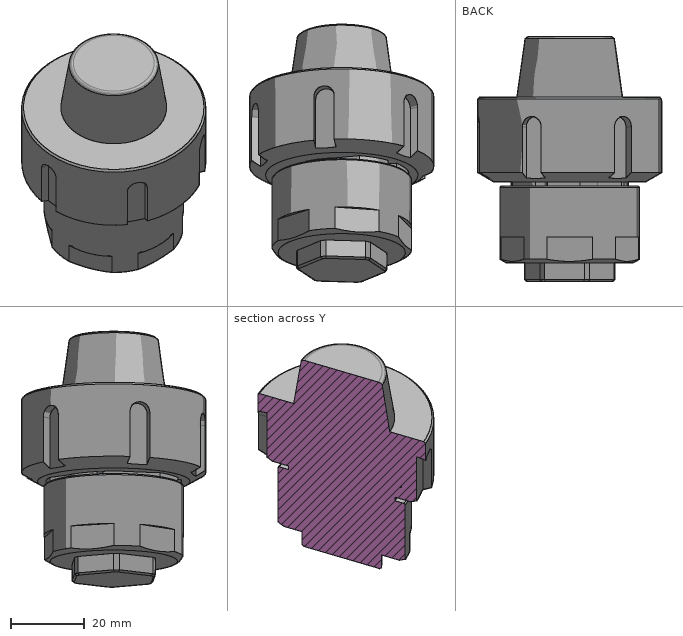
import cadquery as cq
import math

overall_height = 66.5
shoulder_z = 50.0
collar_bottom_z = 27.1
nut_top_z = 25.95
nut_flat_top_z = 12.1
nut_bottom_z = 5.05

bevel_angle = 30.0

cutter_overrun = 0.65

taper_angle = 8.0
plug_base_radius = 14.4
plug_top_radius = 11.0
plug_rim_radius = 11.85
plug_rim_z = 66.1
plug_bevel_height = 0.2

collar_radius = 25.0
collar_top_chamfer = 0.5
collar_bottom_chamfer_width = 4.3
slot_count = 6
slot_width = 5.6
slot_floor_distance = 22.3
slot_top_z = 44.8
slot_start_angle = 5.5

neck_radius = 15.9
lobe_radius = 18.4
lobe_count = 2
lobe_angle = 65.2
lobe_root_half_width = 12.8
lobe_root_distance = 9.4
lobe_tip_half_width = 10.1
lobe_tip_distance = 15.4
lobe_notch_radius = 1.7
neck_notch_radius = 0.85

nut_radius = 38.0 / 2
nut_top_chamfer = 0.4
nut_bottom_chamfer_width = 1.7
nut_flat_count = 6
nut_flat_distance = 17.95

hex_sides = 6
hex_across_flats = 21.95
hex_corner_radius = 12.25
hex_angle = 22.5
spigot_chamfer = 0.5


def polar(distance, angle):
    """Return the XY point at a distance and an angle in degrees from the axis."""
    return (distance * math.cos(math.radians(angle)), distance * math.sin(math.radians(angle)))


def revolve_profile(points):
    """Turn a radius-height outline about the Z axis."""
    return cq.Workplane("XZ").polyline(points).close().revolve(360, (0, 0, 0), (0, 1, 0))


def disc(radius, bottom_z, top_z):
    return cq.Workplane("XY").workplane(offset=bottom_z).circle(radius).extrude(top_z - bottom_z)


def make_plug():
    """Tapered plug whose top edge is rounded, then bevelled into the taper."""
    taper_top_z = plug_rim_z - plug_bevel_height
    taper_height = taper_top_z - shoulder_z
    taper_top_radius = plug_base_radius - taper_height * math.tan(math.radians(taper_angle))
    rim_drop = overall_height - plug_rim_z
    rim_width = plug_rim_radius - plug_top_radius
    round_radius = (rim_width**2 + rim_drop**2) / (2 * rim_drop)
    half_sweep = math.asin(rim_width / round_radius) / 2
    round_middle = (
        plug_top_radius + round_radius * math.sin(half_sweep),
        overall_height - round_radius * (1 - math.cos(half_sweep)),
    )
    return (
        cq.Workplane("XZ")
        .moveTo(0, shoulder_z)
        .lineTo(plug_base_radius, shoulder_z)
        .lineTo(taper_top_radius, taper_top_z)
        .lineTo(plug_rim_radius, plug_rim_z)
        .threePointArc(round_middle, (plug_top_radius, overall_height))
        .lineTo(0, overall_height)
        .close()
        .revolve(360, (0, 0, 0), (0, 1, 0))
    )


def make_slot(angle):
    """Round-topped axial slot, open at the bottom of the collar."""
    cut_depth = collar_radius - slot_floor_distance + cutter_overrun
    arc_center_z = slot_top_z - slot_width / 2
    slot = (
        cq.Workplane("YZ")
        .workplane(offset=slot_floor_distance)
        .moveTo(-slot_width / 2, collar_bottom_z)
        .lineTo(-slot_width / 2, arc_center_z)
        .threePointArc((0, slot_top_z), (slot_width / 2, arc_center_z))
        .lineTo(slot_width / 2, collar_bottom_z)
        .close()
        .extrude(cut_depth)
    )
    return slot.rotate((0, 0, 0), (0, 0, 1), angle)


def make_collar():
    bevel_height = collar_bottom_chamfer_width * math.tan(math.radians(bevel_angle))
    collar = revolve_profile(
        [
            (0, collar_bottom_z),
            (collar_radius - collar_bottom_chamfer_width, collar_bottom_z),
            (collar_radius, collar_bottom_z + bevel_height),
            (collar_radius, shoulder_z - collar_top_chamfer),
            (collar_radius - collar_top_chamfer, shoulder_z),
            (0, shoulder_z),
        ]
    )
    for index in range(slot_count):
        collar = collar.cut(make_slot(slot_start_angle + index * 360 / slot_count))
    return collar


def make_lobe():
    """Lobe along +X with converging sides and a round notch in its rim."""
    outline = [
        (0, -lobe_root_half_width),
        (lobe_root_distance, -lobe_root_half_width),
        (lobe_tip_distance, -lobe_tip_half_width),
        (lobe_radius, -lobe_tip_half_width),
        (lobe_radius, lobe_tip_half_width),
        (lobe_tip_distance, lobe_tip_half_width),
        (lobe_root_distance, lobe_root_half_width),
        (0, lobe_root_half_width),
    ]
    height = collar_bottom_z - nut_top_z
    block = cq.Workplane("XY").workplane(offset=nut_top_z).polyline(outline).close().extrude(height)
    return block.intersect(disc(lobe_radius, nut_top_z, collar_bottom_z))


def make_neck():
    neck = disc(neck_radius, nut_top_z, collar_bottom_z)
    for index in range(lobe_count):
        angle = lobe_angle + index * 360 / lobe_count
        neck = neck.union(make_lobe().rotate((0, 0, 0), (0, 0, 1), angle))
    for index in range(lobe_count):
        angle = lobe_angle + index * 360 / lobe_count
        lobe_notch = disc(lobe_notch_radius, nut_top_z, collar_bottom_z)
        neck_notch = disc(neck_notch_radius, nut_top_z, collar_bottom_z)
        neck = neck.cut(lobe_notch.translate((*polar(lobe_radius, angle), 0)))
        neck = neck.cut(neck_notch.translate((*polar(neck_radius, angle + 90), 0)))
    return neck


def make_nut():
    bevel_height = nut_bottom_chamfer_width * math.tan(math.radians(bevel_angle))
    nut = revolve_profile(
        [
            (0, nut_bottom_z),
            (nut_radius - nut_bottom_chamfer_width, nut_bottom_z),
            (nut_radius, nut_bottom_z + bevel_height),
            (nut_radius, nut_top_z - nut_top_chamfer),
            (nut_radius - nut_top_chamfer, nut_top_z),
            (0, nut_top_z),
        ]
    )
    flat_height = nut_flat_top_z - nut_bottom_z
    flat_depth = nut_radius - nut_flat_distance + cutter_overrun
    flat_cut = (
        cq.Workplane("XY")
        .box(flat_depth, 2 * nut_radius, flat_height, centered=(False, True, False))
        .translate((nut_flat_distance, 0, nut_bottom_z))
    )
    for index in range(nut_flat_count):
        angle = 90 + index * 360 / nut_flat_count
        nut = nut.cut(flat_cut.rotate((0, 0, 0), (0, 0, 1), angle))
    return nut


def make_spigot():
    """Hexagon with turned corners and a bevelled tip."""
    hexagon = (
        cq.Workplane("XY")
        .polygon(hex_sides, hex_across_flats / math.cos(math.pi / hex_sides))
        .extrude(nut_bottom_z)
        .rotate((0, 0, 0), (0, 0, 1), hex_angle + 180 / hex_sides)
    )
    spigot = hexagon.intersect(disc(hex_corner_radius, 0, nut_bottom_z))
    return spigot.faces("<Z").chamfer(spigot_chamfer)


result = make_collar().union(make_plug()).union(make_neck()).union(make_nut()).union(make_spigot())